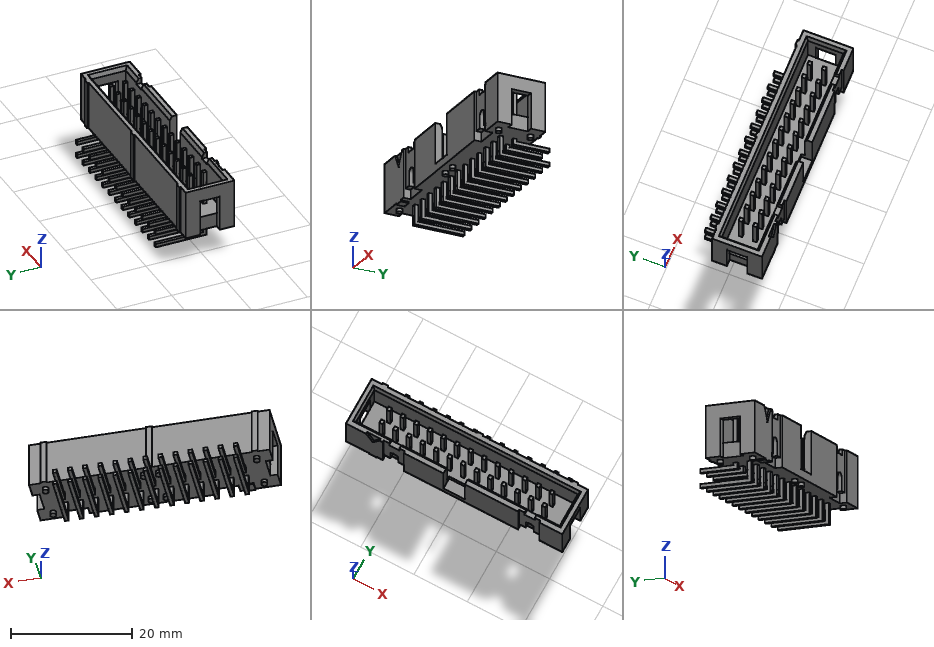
import cadquery as cq


LENGTH = 40.6
DEPTH = 8.9
HEIGHT = 8.9
SIDE_WALL = 1.3
END_WALL = 1.2
FLOOR = 2.55
LEAD_IN_WIDTH = 0.4
LEAD_IN_HEIGHT = 0.75

COLUMNS = 13
ROW_SPAN = 30.5
PITCH = ROW_SPAN / (COLUMNS - 1)
PIN = 0.65
PIN_TIP_DROP = 0.25
TAIL_END = 12.1
FRONT_TAIL_BOTTOM = -3.6
COLUMN_XS = [(i - (COLUMNS - 1) / 2) * PITCH for i in range(COLUMNS)]
FRONT_ROW_Y = (DEPTH - PITCH) / 2
BACK_ROW_Y = (DEPTH + PITCH) / 2

KEY_WIDTH = 4.0
KEY_DEPTH = 1.95
KEY_BOTTOM = 1.45

STATION_XS = [-4.5 * PITCH, 5.5 * PITCH]
STATION_WIDTH = 3.98
STATION_DEPTH = 0.35
RIM_NOTCH_WIDTH = 1.95
RIM_NOTCH_HEIGHT = 1.0
ARCH_WIDTH = 1.45
ARCH_TOP = 4.7
UNDERCUT_HEIGHT = 1.7

WINDOW_WIDTH = 3.57
WINDOW_TOP = 6.45

MARK_WIDTH = 2.5
MARK_HEIGHT = 2.55
MARK_DEPTH = 0.35
MARK_PAD_SIZE = 1.5
MARK_PAD_HEIGHT = 0.25

END_OFFSET = 17.82
RIB_WIDTH = 1.0
RIB_DEPTH = 0.25
FOOT_DIAMETER = 1.0
FOOT_HEIGHT = 0.6
FOOT_INSET = 1.5


def block(x_mid, width, y_min, y_max, z_min, z_max):
    """Box centred on x_mid that fills the given Y and Z ranges."""
    box = cq.Workplane("XY").box(width, y_max - y_min, z_max - z_min, centered=(True, False, False))
    return box.translate((x_mid, y_min, z_min))


def housing_shell():
    """Open-topped box whose rim flares outwards as a lead-in."""
    inner_length = LENGTH - 2 * END_WALL
    inner_depth = DEPTH - 2 * SIDE_WALL
    shell = block(0, LENGTH, 0, DEPTH, 0, HEIGHT)
    cavity = block(0, inner_length, SIDE_WALL, DEPTH - SIDE_WALL, FLOOR, HEIGHT)
    lead_in = (
        cq.Workplane("XY", origin=(0, DEPTH / 2, HEIGHT - LEAD_IN_HEIGHT))
        .rect(inner_length, inner_depth)
        .workplane(offset=LEAD_IN_HEIGHT)
        .rect(inner_length + 2 * LEAD_IN_WIDTH, inner_depth + 2 * LEAD_IN_WIDTH)
        .loft(ruled=True)
    )
    return shell.cut(cavity).cut(lead_in)


def latch_station(x_mid):
    """Shallow front channel with a rim notch, an arched slot and an undercut."""
    channel = block(x_mid, STATION_WIDTH, 0, STATION_DEPTH, 0, HEIGHT)
    rim_notch = block(x_mid, RIM_NOTCH_WIDTH, 0, SIDE_WALL, HEIGHT - RIM_NOTCH_HEIGHT, HEIGHT)
    undercut = block(x_mid, STATION_WIDTH, 0, SIDE_WALL, 0, UNDERCUT_HEIGHT)
    arch_radius = ARCH_WIDTH / 2
    arch = (
        cq.Workplane("XZ", origin=(x_mid, 0, 0))
        .moveTo(-arch_radius, 0)
        .lineTo(-arch_radius, ARCH_TOP - arch_radius)
        .threePointArc((0, ARCH_TOP), (arch_radius, ARCH_TOP - arch_radius))
        .lineTo(arch_radius, 0)
        .close()
        .extrude(-SIDE_WALL)
    )
    return channel.union(rim_notch).union(undercut).union(arch)


def end_window(side):
    """Opening through an end wall that runs on down to the underside."""
    x_mid = side * (LENGTH - END_WALL) / 2
    y_min = (DEPTH - WINDOW_WIDTH) / 2
    return block(x_mid, END_WALL, y_min, y_min + WINDOW_WIDTH, 0, WINDOW_TOP)


def pin_one_mark():
    """Triangle engraved in the front face, pointing down at the first column."""
    return (
        cq.Workplane("XZ", origin=(COLUMN_XS[0], 0, HEIGHT))
        .polyline([(-MARK_WIDTH / 2, 0), (0, -MARK_HEIGHT), (MARK_WIDTH / 2, 0)])
        .close()
        .extrude(-MARK_DEPTH)
    )


def pin(x_mid, y_mid, tail_bottom):
    """Square pin with a sharp right-angled bend towards +Y."""
    front = y_mid - PIN / 2
    post = block(x_mid, PIN, front, front + PIN, tail_bottom, HEIGHT - PIN_TIP_DROP)
    tail = block(x_mid, PIN, front, TAIL_END, tail_bottom, tail_bottom + PIN)
    return post.union(tail)


result = housing_shell()
result = result.cut(block(0, KEY_WIDTH, 0, KEY_DEPTH, KEY_BOTTOM, HEIGHT))
result = result.cut(pin_one_mark())
for station_x in STATION_XS:
    result = result.cut(latch_station(station_x))
for side in (-1, 1):
    result = result.cut(end_window(side))

for rib_x in (-END_OFFSET, 0, END_OFFSET):
    result = result.union(block(rib_x, RIB_WIDTH, DEPTH, DEPTH + RIB_DEPTH, 0, HEIGHT))

foot_points = [
    (x, y)
    for x in (-END_OFFSET, -PITCH / 2, PITCH / 2, END_OFFSET)
    for y in (FOOT_INSET, DEPTH - FOOT_INSET)
]
feet = cq.Workplane("XY").pushPoints(foot_points).circle(FOOT_DIAMETER / 2).extrude(-FOOT_HEIGHT)
result = result.union(feet)
result = result.union(block(COLUMN_XS[0], MARK_PAD_SIZE, 0, MARK_PAD_SIZE, -MARK_PAD_HEIGHT, 0))

for column_x in COLUMN_XS:
    result = result.union(pin(column_x, FRONT_ROW_Y, FRONT_TAIL_BOTTOM))
    result = result.union(pin(column_x, BACK_ROW_Y, FRONT_TAIL_BOTTOM + PITCH))